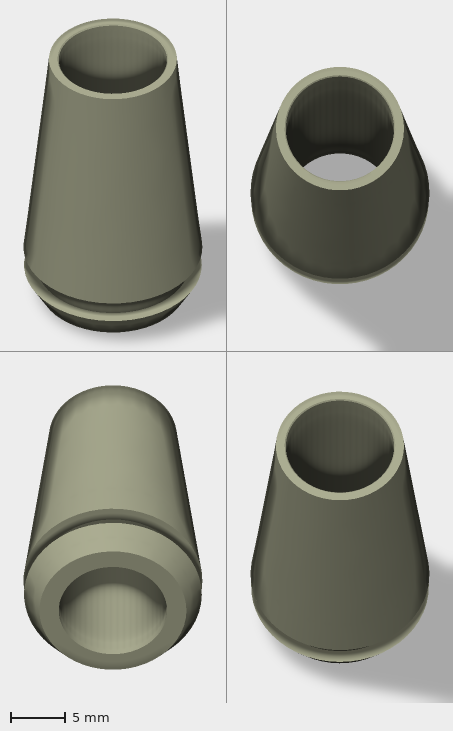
import cadquery as cq

height = 27.0
body_diameter = 16.5
top_diameter = 11.8
flange_diameter = 16.4
base_diameter = 13.55
groove_diameter = 14.05
bore_diameter = 10.0
flange_height = 2.5
groove_width = 2.13
mouth_chamfer = 0.1

body_bottom = flange_height + groove_width
bore_radius = bore_diameter / 2

section = [
    (bore_radius, 0),
    (base_diameter / 2, 0),
    (flange_diameter / 2, flange_height),
    (groove_diameter / 2, flange_height),
    (groove_diameter / 2, body_bottom),
    (body_diameter / 2, body_bottom),
    (top_diameter / 2, height),
    (bore_radius + mouth_chamfer, height),
    (bore_radius, height - mouth_chamfer),
]

result = cq.Workplane("YZ").polyline(section).close().revolve(360, (0, 0), (0, 1))